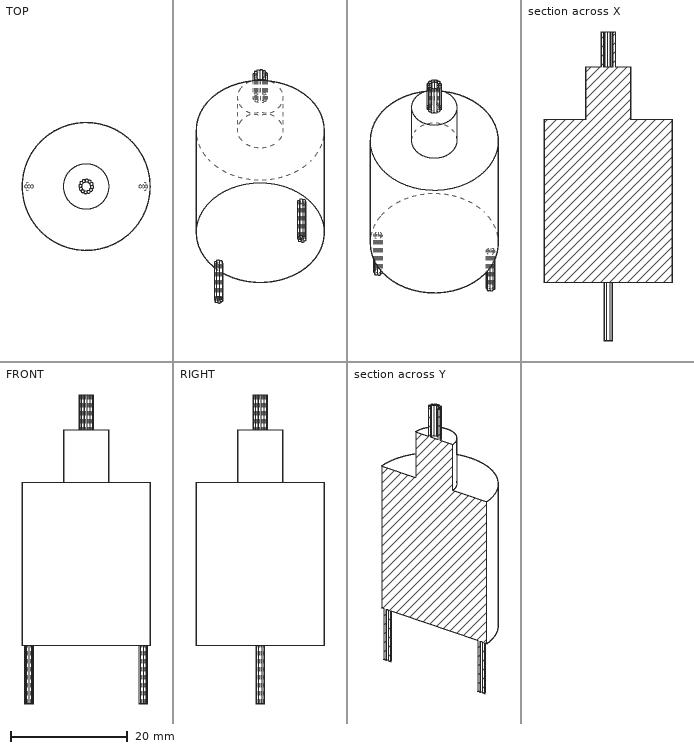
import cadquery as cq

total_height = 53.0
body_diameter = 22.0
body_height = 28.0
neck_diameter = 7.8
neck_height = 9.0
lead_length = 10.0
lead_offset = 9.8
strand_diameter = 0.55
top_strand_count = 12
top_ring_radius = 1.0
top_start_angle = -6
lead_strand_count = 6
lead_ring_radius = 0.49
joint_overlap = 0.05

neck_top = body_height + neck_height
stub_height = total_height - lead_length - neck_top


def stranded_wire(x, bottom, height, ring_radius, count, start_angle=0):
    """Hollow wire at the given x, made of a ring of parallel round strands."""
    return (
        cq.Workplane("XY", origin=(x, 0, bottom))
        .polarArray(ring_radius, start_angle, 360, count)
        .circle(strand_diameter / 2)
        .extrude(height)
    )


body = cq.Workplane("XY").circle(body_diameter / 2).extrude(body_height)
neck = cq.Workplane("XY", origin=(0, 0, body_height)).circle(neck_diameter / 2).extrude(neck_height)
result = body.union(neck)

stub_bottom = neck_top - joint_overlap
stub = stranded_wire(
    0, stub_bottom, stub_height + joint_overlap, top_ring_radius, top_strand_count, top_start_angle
)
result = result.union(stub)

for side in (-1, 1):
    lead = stranded_wire(
        side * lead_offset, -lead_length, lead_length + joint_overlap, lead_ring_radius, lead_strand_count
    )
    result = result.union(lead)